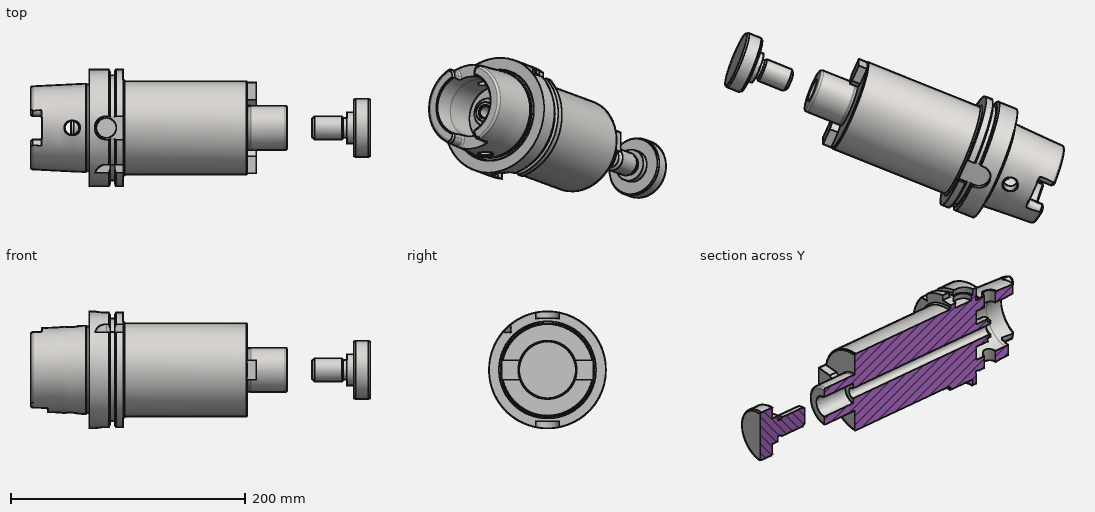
import cadquery as cq
import math


taper_length = 50.0
taper_root_diameter = 76.0
taper_ratio = 1 / 10
taper_tip_fillet = 2.0
relief_length = 2.9
relief_depth = 0.7
face_relief_diameter = 79.6
face_relief_depth = 0.7

flange_diameter = 100.0
flange_length = 29.0
groove_start = 16.7
groove_end = 22.9
groove_flare_length = 1.2
groove_flare_depth = 2.5
groove_floor_diameter = 90.0

shank_diameter = 80.0
shank_end = 135.0
shank_root_chamfer = 1.5
shank_edge_chamfer = 1.0

pilot_diameter = 38.1
pilot_length = 34.0
pilot_end_fillet = 2.0
pilot_relief_diameter = 37.7
pilot_relief_length = 3.0
pilot_relief_runout = 0.8

bore_diameter = 50.0
bore_mouth_diameter = 53.0
bore_mouth_chamfer = 0.9
bore_cone_length = 18.5
nozzle_flange_diameter = 24.0
nozzle_flange_length = 13.0
nozzle_diameter = 16.8
nozzle_length = 15.7
coolant_diameter = 10.0
coolant_mouth_diameter = 12.0
clamp_hole_diameter = 12.0
clamp_hole_sink_diameter = 14.0
clamp_hole_x = -14.7

drive_slot_width = 19.6
drive_slot_depths = {1: 9.7, -1: 14.7}
drive_slot_floor_fillet = 1.5
drive_slot_edge_radius = 5.5
drive_slot_mouth_chamfer = 1.7
drive_slot_flare_start = 27.0
flange_slot_width = 20.0
flange_slot_centre_x = 14.6
flange_slot_floor = 44.0
chip_hole_diameter = 17.0
chip_hole_depth = 5.0
side_notch_floor = 32.0
side_notch_wall = 31.3

tenon_width = 16.8
tenon_height = 7.6
tenon_outer_reach = 38.9
tenon_inner_reach = 19.0
tenon_inner_chamfer = 5.0

screw_tip_x = 190.0
thread_diameter = 20.0
thread_tip_diameter = 15.3
thread_end = 25.5
neck_start = 27.0
collar_start = 30.0
head_start = 35.7
screw_length = 50.0
neck_diameter = 17.0
collar_diameter = 27.0
head_diameter = 50.0
head_chamfer_length = 1.7
head_chamfer_depth = 0.9
thread_hole_depth = 32.0


def turned(points):
    """Solid of revolution about X from (x, radius) points; it closes along the axis."""
    outline = [(points[0][0], 0)] + points + [(points[-1][0], 0)]
    return cq.Workplane("XY").polyline(outline).close().revolve(360, (0, 0, 0), (1, 0, 0))


def bar(diameter, start, end):
    """Round bar on the X axis."""
    return cq.Workplane("YZ", origin=(start, 0, 0)).circle(diameter / 2).extrude(end - start)


def block(x_range, y_range, z_range):
    """Box from its limits along each axis."""
    limits = (x_range, y_range, z_range)
    sizes = [high - low for low, high in limits]
    corner = [low for low, high in limits]
    return cq.Workplane("XY").box(*sizes, centered=False).translate(tuple(corner))


def taper_radius(x):
    return taper_root_diameter / 2 + x * taper_ratio / 2


def arbor_outside():
    tip = -taper_length
    flange_radius = flange_diameter / 2
    groove_radius = groove_floor_diameter / 2
    shank_radius = shank_diameter / 2
    pilot_radius = pilot_diameter / 2
    pilot_start = shank_end + pilot_relief_length
    pilot_end = shank_end + pilot_length
    groove_flare_radius = flange_radius - groove_flare_depth
    pilot_relief_radius = pilot_relief_diameter / 2
    relief_radius = taper_radius(-relief_length) - relief_depth
    body = turned([
        (tip, taper_radius(tip)),
        (-relief_length, taper_radius(-relief_length)),
        (-relief_length + relief_depth, relief_radius),
        (face_relief_depth, relief_radius),
        (face_relief_depth, face_relief_diameter / 2 - face_relief_depth),
        (0, face_relief_diameter / 2),
        (0, flange_radius),
        (groove_start, flange_radius),
        (groove_start + groove_flare_length, groove_flare_radius),
        (groove_start + groove_flare_length, groove_radius),
        (groove_end - groove_flare_length, groove_radius),
        (groove_end - groove_flare_length, groove_flare_radius),
        (groove_end, flange_radius),
        (flange_length, flange_radius),
        (flange_length, shank_radius + shank_root_chamfer),
        (flange_length + shank_root_chamfer, shank_radius),
        (shank_end - shank_edge_chamfer, shank_radius),
        (shank_end, shank_radius - shank_edge_chamfer),
        (shank_end, pilot_radius),
        (shank_end + pilot_relief_runout, pilot_relief_radius),
        (pilot_start - pilot_relief_runout, pilot_relief_radius),
        (pilot_start, pilot_radius),
        (pilot_end, pilot_radius),
    ])
    body = body.faces("<X").edges().fillet(taper_tip_fillet)
    return body.faces(">X").edges().fillet(pilot_end_fillet)


def taper_bore():
    mouth = -taper_length
    return turned([
        (mouth, bore_mouth_diameter / 2 + bore_mouth_chamfer),
        (mouth + bore_mouth_chamfer, bore_mouth_diameter / 2),
        (mouth + bore_cone_length, bore_diameter / 2),
        (0, bore_diameter / 2),
    ])


def coolant_nozzle():
    collar = bar(nozzle_flange_diameter, -nozzle_flange_length, 0)
    return collar.union(bar(nozzle_diameter, -nozzle_length, 0))


def axial_holes():
    pilot_end = shank_end + pilot_length
    channel = bar(coolant_diameter, -nozzle_length, pilot_end)
    mouth_cone = turned([
        (-nozzle_length, coolant_mouth_diameter / 2),
        (-nozzle_length + (coolant_mouth_diameter - coolant_diameter) / 2, coolant_diameter / 2),
    ])
    thread_hole = bar(thread_diameter, pilot_end - thread_hole_depth, pilot_end)
    return channel.union(mouth_cone).union(thread_hole)


def drive_slot_outline():
    """Closed outline of a drive slot at the taper tip; the walls flare outwards in arcs."""
    half = drive_slot_width / 2
    top = drive_slot_flare_start + drive_slot_edge_radius
    wide = half + drive_slot_edge_radius
    outer = taper_root_diameter / 2
    rise = drive_slot_edge_radius * math.sqrt(0.5)
    bend = drive_slot_edge_radius - rise
    middle_height = drive_slot_flare_start + rise
    return (
        cq.Workplane("YZ", origin=(-taper_length, 0, 0))
        .moveTo(-half, 0)
        .lineTo(half, 0)
        .lineTo(half, drive_slot_flare_start)
        .threePointArc((half + bend, middle_height), (wide, top))
        .lineTo(wide, outer)
        .lineTo(-wide, outer)
        .lineTo(-wide, top)
        .threePointArc((-half - bend, middle_height), (-half, drive_slot_flare_start))
        .close()
    )


def drive_slot(side):
    """Slot across one wall of the hollow taper, bevelled at its mouth."""
    slot = drive_slot_outline().extrude(drive_slot_depths[side])
    slot = slot.faces(">X").edges("|Z").fillet(drive_slot_floor_fillet)
    bevel = drive_slot_mouth_chamfer
    slot = slot.union(drive_slot_outline().offset2D(bevel).extrude(bevel, taper=45))
    return slot if side > 0 else slot.mirror("XY")


def clamp_hole():
    """Cross hole through both walls of the hollow taper, clear of the nozzle."""
    drill = (
        cq.Workplane("XY", origin=(clamp_hole_x, 0, -taper_root_diameter / 2))
        .circle(clamp_hole_diameter / 2)
        .extrude(taper_root_diameter)
    )
    sink_radius = clamp_hole_sink_diameter / 2
    sink = cq.Workplane(cq.Solid.makeCone(
        0, sink_radius, sink_radius,
        pnt=cq.Vector(clamp_hole_x, 0, taper_radius(clamp_hole_x) - sink_radius),
    ))
    drill = drill.union(sink).union(sink.mirror("XY"))
    return drill.cut(bar(nozzle_flange_diameter, -taper_length, 0))


def round_ended_slot(centre_y, floor):
    """Milled slot of the flange, open towards +X and +Z, with a round end towards -X."""
    half = flange_slot_width / 2
    height = flange_diameter / 2 - floor
    return (
        cq.Workplane("XY", origin=(0, centre_y, floor))
        .moveTo(flange_length, -half)
        .lineTo(flange_slot_centre_x, -half)
        .threePointArc((flange_slot_centre_x - half, 0), (flange_slot_centre_x, half))
        .lineTo(flange_length, half)
        .close()
        .extrude(height)
    )


def chip_hole():
    return (
        cq.Workplane("XY", origin=(flange_slot_centre_x, 0, flange_slot_floor - chip_hole_depth))
        .circle(chip_hole_diameter / 2)
        .extrude(chip_hole_depth)
    )


def tenon():
    """Driving tenon on the +Y half of the shank end; its inner end is bevelled to both sides."""
    half = tenon_width / 2
    return (
        block(
            (shank_end - shank_edge_chamfer, shank_end + tenon_height),
            (tenon_inner_reach, tenon_outer_reach),
            (-half, half),
        )
        .faces("<Y").edges("|X").chamfer(tenon_inner_chamfer)
    )


def make_arbor():
    arbor = arbor_outside().cut(taper_bore())
    arbor = arbor.cut(clamp_hole())
    for side in drive_slot_depths:
        arbor = arbor.cut(drive_slot(side))
    arbor = arbor.union(coolant_nozzle())
    arbor = arbor.cut(axial_holes())
    top_slot = round_ended_slot(0, flange_slot_floor)
    arbor = arbor.cut(top_slot).cut(top_slot.mirror("XY")).cut(chip_hole())
    arbor = arbor.cut(round_ended_slot(-side_notch_wall - flange_slot_width / 2, side_notch_floor))
    return arbor.union(tenon()).union(tenon().mirror("XZ"))


def make_screw():
    tip_chamfer = (thread_diameter - thread_tip_diameter) / 2
    thread_radius = thread_diameter / 2
    neck_radius = neck_diameter / 2
    collar_radius = collar_diameter / 2
    head_radius = head_diameter / 2
    outline = [
        (0, thread_tip_diameter / 2),
        (tip_chamfer, thread_radius),
        (thread_end, thread_radius),
        (neck_start, neck_radius),
        (collar_start, neck_radius),
        (collar_start, collar_radius),
        (head_start, collar_radius),
        (head_start, head_radius - head_chamfer_depth),
        (head_start + head_chamfer_length, head_radius),
        (screw_length - head_chamfer_length, head_radius),
        (screw_length, head_radius - head_chamfer_depth),
    ]
    return turned(outline).translate((screw_tip_x, 0, 0))


arbor = make_arbor()
screw = make_screw()
result = cq.Compound.makeCompound([arbor.val(), screw.val()])